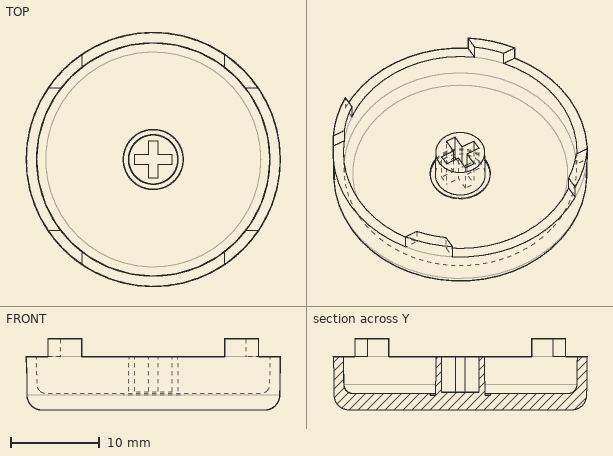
import cadquery as cq

rim_radius = 14.3
base_radius = 14.2
base_fillet = 1.75
rim_height = 6.03
cavity_rim_radius = 13.12
cavity_floor_radius = 13.07
cavity_fillet = 1.0
floor_height = 1.9

total_height = 8.03
tab_side_offset = 8.0

post_top_radius = 2.75
post_base_radius = 2.8
groove_top_radius = 3.388
groove_base_radius = 3.35
groove_depth = 0.2
groove_bottom = floor_height - groove_depth

cross_length = 4.2
cross_width = 1.12
cross_depth = 4.0


def tapered_round(bottom_radius, top_radius, bottom, top):
    """Solid of revolution about Z with a straight, tapered side."""
    profile = [(0, bottom), (bottom_radius, bottom), (top_radius, top), (0, top)]
    return cq.Workplane("XZ").polyline(profile).close().revolve(360, (0, 0, 0), (0, 1, 0))


def make_shell():
    outside = tapered_round(base_radius, rim_radius, 0, rim_height)
    outside = outside.faces("<Z").edges().fillet(base_fillet)
    cavity = tapered_round(cavity_floor_radius, cavity_rim_radius, floor_height, rim_height)
    cavity = cavity.faces("<Z").edges().fillet(cavity_fillet)
    return outside.cut(cavity)


def make_tabs():
    """Ring sectors in the four quadrants, with sides parallel to X and Y."""
    ring = (
        cq.Workplane("XY", origin=(0, 0, rim_height))
        .circle(rim_radius)
        .circle(cavity_rim_radius)
        .extrude(total_height - rim_height)
    )
    span = 2 * rim_radius
    gap = 2 * tab_side_offset
    for length_x, length_y in [(span, gap), (gap, span)]:
        ring = ring.cut(cq.Workplane("XY").box(length_x, length_y, 2 * total_height))
    return ring


def make_cross_socket():
    socket = cq.Workplane("XY", origin=(0, 0, rim_height))
    return (
        socket.rect(cross_length, cross_width)
        .extrude(-cross_depth)
        .union(socket.rect(cross_width, cross_length).extrude(-cross_depth))
    )


groove = tapered_round(groove_base_radius, groove_top_radius, groove_bottom, floor_height)
post = tapered_round(post_base_radius, post_top_radius, groove_bottom, rim_height)

result = make_shell().cut(groove).union(post).cut(make_cross_socket()).union(make_tabs())